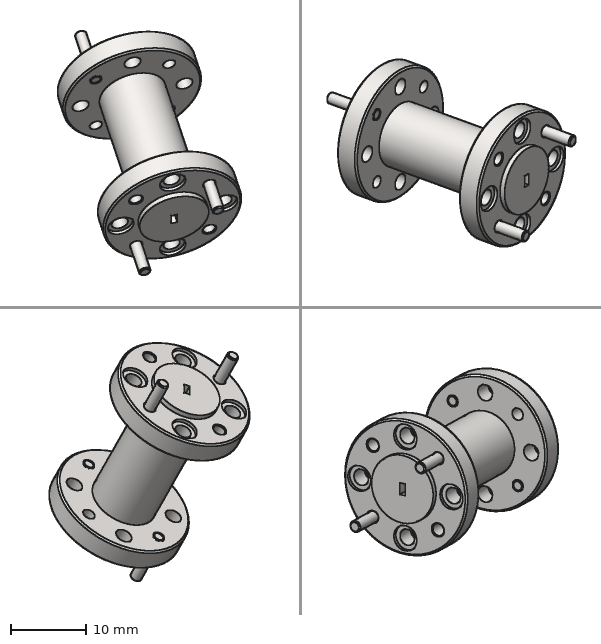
import cadquery as cq
import math


overall_length = 33.15
boss_span = 25.4
flange_span = 23.87
flange_thickness = 3.28
flange_face = flange_span / 2
flange_back = flange_face - flange_thickness

flange_diameter = 19.05
flange_chamfer = 0.25
boss_diameter = flange_diameter / 2
tube_diameter = 9.15

passage_width = 0.83
passage_height = 2 * passage_width

hole_circle_radius = 14.3 / 2
screw_hole_diameter = 2.25
counterbore_diameter = 3.55
counterbore_depth = 0.5

pin_diameter = 1.6
pin_length = overall_length / 2 - flange_back
pin_chamfer = 0.15
pin_hole_chamfer = 0.1
socket_diameter = 1.7
socket_chamfer = 0.13

FLANGE_SIDES = (-1, 1)
SCREW_ANGLES = (0, 90, 180, 270)
DIAGONAL_ANGLES = (45, 225)


def circle_points(angles):
    """(y, z) points on the hole circle."""
    return [
        (hole_circle_radius * math.cos(math.radians(a)), hole_circle_radius * math.sin(math.radians(a)))
        for a in angles
    ]


def pin_points(side):
    """(y, z) of the two pins on one flange; the two flanges are a half turn about Z apart."""
    return [(side * y, z) for y, z in circle_points(DIAGONAL_ANGLES)]


def socket_points(side):
    """(y, z) of the two empty dowel holes on one flange, opposite the pins of the other flange."""
    return pin_points(-side)


def rod(diameter, start, end):
    """Cylinder on the X axis between two X positions."""
    return cq.Workplane("YZ", origin=(start, 0, 0)).circle(diameter / 2).extrude(end - start)


def make_flange(side):
    """Chamfered disc with a raised round boss on its outer face."""
    flange = rod(flange_diameter, side * flange_back, side * flange_face)
    flange = flange.edges("%CIRCLE").chamfer(flange_chamfer)
    return flange.union(rod(boss_diameter, side * flange_back, side * boss_span / 2))


def through_hole(side, diameter):
    """Cutter through the full thickness of one flange."""
    return rod(diameter, side * flange_back, side * flange_face)


def dowel_cutter(side, diameter, mouth_chamfer):
    """Through hole with a 45 degree chamfer at the outer face of the flange."""
    mouth = cq.Solid.makeCone(
        diameter / 2 + mouth_chamfer,
        diameter / 2,
        mouth_chamfer,
        pnt=cq.Vector(side * flange_face, 0, 0),
        dir=cq.Vector(-side, 0, 0),
    )
    return through_hole(side, diameter).union(cq.Workplane(mouth))


def screw_cutter(side):
    """Through hole with a shallow counterbore in the outer face of the flange."""
    counterbore = rod(counterbore_diameter, side * (flange_face - counterbore_depth), side * flange_face)
    return through_hole(side, screw_hole_diameter).union(counterbore)


def cut_at(body, cutter, points):
    """Cut one cutter out of the body at each (y, z) point."""
    for y, z in points:
        body = body.cut(cutter.translate((0, y, z)))
    return body


def make_waveguide():
    """Tube and both flanges as one solid, with all holes and the waveguide passage."""
    body = rod(tube_diameter, -flange_back, flange_back)
    for side in FLANGE_SIDES:
        body = body.union(make_flange(side))
    for side in FLANGE_SIDES:
        body = cut_at(body, screw_cutter(side), circle_points(SCREW_ANGLES))
        body = cut_at(body, dowel_cutter(side, pin_diameter, pin_hole_chamfer), pin_points(side))
        body = cut_at(body, dowel_cutter(side, socket_diameter, socket_chamfer), socket_points(side))
    return body.cut(cq.Workplane("XY").box(boss_span, passage_width, passage_height))


def make_pin(side, y, z):
    """Dowel from the back of one flange, flush there, out to the end of the part."""
    pin = rod(pin_diameter, side * flange_back, side * (flange_back + pin_length))
    return pin.edges("%CIRCLE").chamfer(pin_chamfer).translate((0, y, z))


waveguide = make_waveguide()
pins = [make_pin(side, y, z) for side in FLANGE_SIDES for y, z in pin_points(side)]

result = cq.Compound.makeCompound([waveguide.val(), *[pin.val() for pin in pins]])